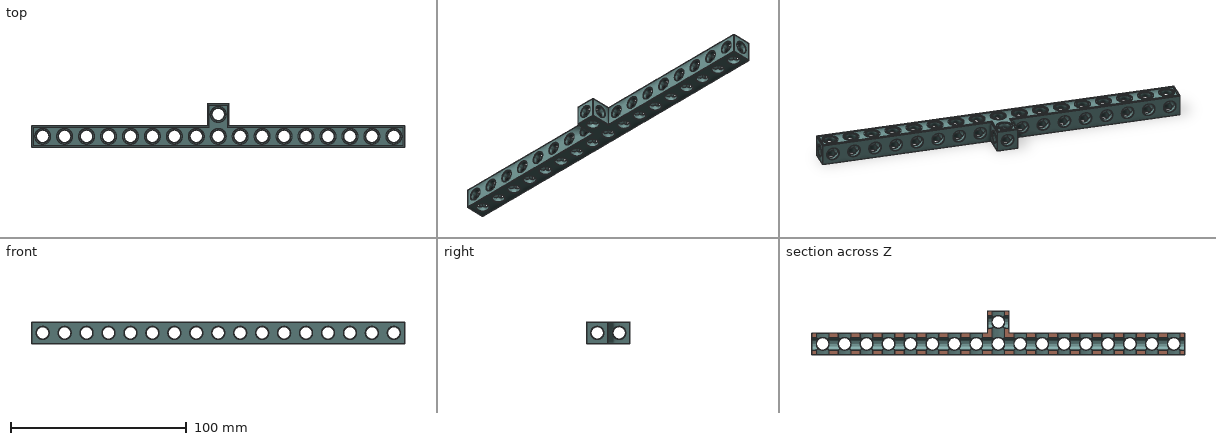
import cadquery as cq

length = 212.5
cell_count = 17
hole_diameter = 7.0
ring_diameter = 9.1
rim_width = 1.0
recess_depth = 0.2
edge_chamfer = 0.3

cell = length / cell_count
half_cell = cell / 2
hole_radius = hole_diameter / 2
mouth_radius = hole_radius + edge_chamfer
cell_positions = [(i - (cell_count - 1) / 2) * cell for i in range(cell_count)]
beam_centers = [(x, 0, 0) for x in cell_positions]
branch_center = (0, cell, 0)
branch_end = cell + half_cell
recess_floor = half_cell - recess_depth


def chamfered_box(x_size, y_size):
    """Block one cell high, centered on the origin, with every edge chamfered."""
    return cq.Workplane("XY").box(x_size, y_size, cell).edges().chamfer(edge_chamfer)


def tee_body():
    """The long beam joined to a branch block that starts inside it."""
    beam = chamfered_box(length, cell)
    branch = chamfered_box(cell, branch_end).translate((0, branch_end / 2, 0))
    return beam.union(branch)


def top_recess():
    """Shallow tee-shaped pocket that leaves a rim all around the top face."""
    pocket_width = cell - 2 * rim_width
    beam_pocket = (
        cq.Workplane("XY", origin=(0, 0, recess_floor))
        .rect(length - 2 * rim_width, pocket_width)
        .extrude(recess_depth)
    )
    branch_pocket_length = branch_end - rim_width
    branch_pocket = (
        cq.Workplane("XY", origin=(0, branch_pocket_length / 2, recess_floor))
        .rect(pocket_width, branch_pocket_length)
        .extrude(recess_depth)
    )
    return beam_pocket.union(branch_pocket)


def hole_rings():
    """Raised discs around the vertical holes, level with the rim."""
    return (
        cq.Workplane("XY", origin=(0, 0, recess_floor))
        .pushPoints([center[:2] for center in beam_centers + [branch_center]])
        .circle(ring_diameter / 2)
        .extrude(recess_depth)
    )


def through_hole(depth):
    """Cutter for an upright hole centered on the origin, with both mouths chamfered."""
    half_depth = depth / 2
    neck = half_depth - edge_chamfer
    profile = [
        (0, -half_depth),
        (mouth_radius, -half_depth),
        (hole_radius, -neck),
        (hole_radius, neck),
        (mouth_radius, half_depth),
        (0, half_depth),
    ]
    return cq.Workplane("XZ").polyline(profile).close().revolve(360, (0, 0, 0), (0, 1, 0))


cell_hole_z = through_hole(cell)
cell_hole_y = cell_hole_z.rotate((0, 0, 0), (1, 0, 0), 90)
cell_hole_x = cell_hole_z.rotate((0, 0, 0), (0, 1, 0), 90)

result = tee_body().cut(top_recess()).union(hole_rings())

for center in beam_centers + [branch_center]:
    result = result.cut(cell_hole_z.translate(center))

for center in beam_centers:
    if center[0] != 0:
        result = result.cut(cell_hole_y.translate(center))
middle_hole = through_hole(2 * cell).rotate((0, 0, 0), (1, 0, 0), 90)
result = result.cut(middle_hole.translate((0, half_cell, 0)))

beam_hole = through_hole(length).rotate((0, 0, 0), (0, 1, 0), 90)
result = result.cut(beam_hole).cut(cell_hole_x.translate(branch_center))